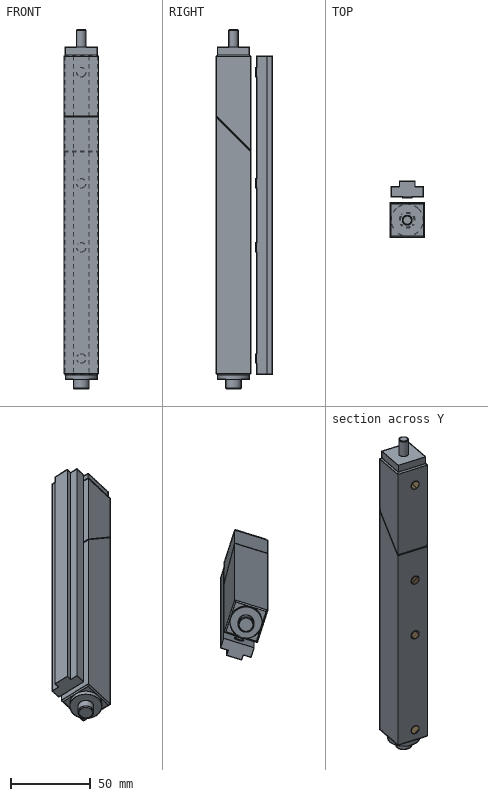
import cadquery as cq

TOTAL_HEIGHT = 226.0
CONNECTOR_HEIGHT = 6.0
END_DISC_HEIGHT = 3.0
NECK_HEIGHT = 5.0
ROD_LENGTH = 11.0

HOUSING_WIDTH = 22.0
END_BEVEL = 1.0
NECK_WIDTH = HOUSING_WIDTH - 2 * END_BEVEL
HOUSING_BOTTOM = CONNECTOR_HEIGHT + END_DISC_HEIGHT
NECK_TOP = TOTAL_HEIGHT - ROD_LENGTH
HOUSING_TOP = NECK_TOP - NECK_HEIGHT
HOUSING_HEIGHT = HOUSING_TOP - HOUSING_BOTTOM

SPLIT_DEPTH = 49.5
SPLIT_GAP = 0.7
SPLIT_HEIGHT = HOUSING_TOP - SPLIT_DEPTH

ROD_DIAMETER = 6.0
ROD_CHAMFER = 0.5
END_DISC_DIAMETER = NECK_WIDTH
CONNECTOR_DIAMETER = 10.0
CONNECTOR_CHAMFER = 0.7

TOTAL_DEPTH = 35.5
RAIL_WIDTH = NECK_WIDTH
RAIL_FLANGE_DEPTH = 6.5
RAIL_STEM_WIDTH = 10.0
RAIL_STEM_DEPTH = 3.5
RAIL_LENGTH = 200.0
RAIL_BOTTOM = 9.3
RAIL_MIDDLE = RAIL_BOTTOM + RAIL_LENGTH / 2
RAIL_BACK = TOTAL_DEPTH - HOUSING_WIDTH / 2
RAIL_FRONT = RAIL_BACK - RAIL_STEM_DEPTH - RAIL_FLANGE_DEPTH

PAD_DIAMETER = 5.9
PAD_HEIGHT = 0.7
INNER_PAD_OFFSET = 20.1
OUTER_PAD_OFFSET = 90.0
PAD_OFFSETS = (-OUTER_PAD_OFFSET, -INNER_PAD_OFFSET, INNER_PAD_OFFSET, OUTER_PAD_OFFSET)


def square_bar(width, bottom, height):
    return cq.Workplane("XY").workplane(offset=bottom).rect(width, width).extrude(height)


def cylinder(diameter, bottom, height):
    return cq.Workplane("XY").workplane(offset=bottom).circle(diameter / 2).extrude(height)


def housing_envelope():
    """The full housing bar, before the slanted split, with both ends bevelled."""
    bar = square_bar(HOUSING_WIDTH, HOUSING_BOTTOM, HOUSING_HEIGHT)
    bar = bar.faces(">Z").chamfer(END_BEVEL)
    return bar.faces("<Z").chamfer(END_BEVEL)


def split_region(center_height, end_height):
    """Block between a 45-degree plane crossing the Z axis at center_height and a level end_height."""
    half = HOUSING_WIDTH / 2
    outline = [
        (-half, center_height + half),
        (half, center_height - half),
        (half, end_height),
        (-half, end_height),
    ]
    return cq.Workplane("YZ").polyline(outline).close().extrude(half, both=True)


def make_upper_housing():
    """Housing above the slanted gap, with the square neck on top."""
    body = housing_envelope().intersect(split_region(SPLIT_HEIGHT + SPLIT_GAP / 2, HOUSING_TOP))
    return body.union(square_bar(NECK_WIDTH, HOUSING_TOP, NECK_HEIGHT))


def make_lower_housing():
    return housing_envelope().intersect(split_region(SPLIT_HEIGHT - SPLIT_GAP / 2, HOUSING_BOTTOM))


def make_rod():
    return cylinder(ROD_DIAMETER, NECK_TOP, ROD_LENGTH).faces(">Z").chamfer(ROD_CHAMFER)


def make_end_disc():
    return cylinder(END_DISC_DIAMETER, CONNECTOR_HEIGHT, END_DISC_HEIGHT)


def make_connector():
    return cylinder(CONNECTOR_DIAMETER, 0, CONNECTOR_HEIGHT).faces("<Z").chamfer(CONNECTOR_CHAMFER)


def make_rail():
    """T-section rail: wide flange toward the housing, narrow stem at the back."""
    half_flange = RAIL_WIDTH / 2
    half_stem = RAIL_STEM_WIDTH / 2
    shoulder = RAIL_FRONT + RAIL_FLANGE_DEPTH
    half_section = [
        (0, RAIL_FRONT),
        (half_flange, RAIL_FRONT),
        (half_flange, shoulder),
        (half_stem, shoulder),
        (half_stem, RAIL_BACK),
        (0, RAIL_BACK),
    ]
    section = cq.Workplane("XY").workplane(offset=RAIL_MIDDLE).polyline(half_section).mirrorY()
    return section.extrude(RAIL_LENGTH / 2, both=True)


def make_pad(height):
    """Flat round pad standing on the rail's face and pointing toward -Y."""
    face = cq.Workplane("XZ", origin=(0, RAIL_FRONT, height))
    return face.circle(PAD_DIAMETER / 2).extrude(PAD_HEIGHT)


upper_housing = make_upper_housing()
lower_housing = make_lower_housing()
rod = make_rod()
end_disc = make_end_disc()
connector = make_connector()
rail = make_rail()
pads = [make_pad(RAIL_MIDDLE + offset) for offset in PAD_OFFSETS]

result = cq.Compound.makeCompound(
    [
        upper_housing.val(),
        lower_housing.val(),
        rod.val(),
        end_disc.val(),
        connector.val(),
        rail.val(),
        *[pad.val() for pad in pads],
    ]
)